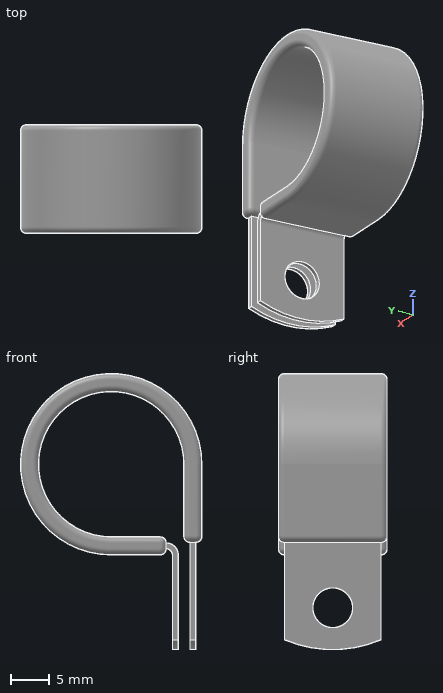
import cadquery as cq
import math


loop_diameter = 23.85
sleeve_width = 14.3
total_height = 36.28
band_thickness = 0.8
leg_length = 10.25
foot_length = 7.22
hole_diameter = 5.2
hole_height = 5.5
tip_rise = 1.3

outer_radius = loop_diameter / 2
edge_radius = band_thickness
sleeve_thickness = 3 * band_thickness
inner_radius = outer_radius - sleeve_thickness
middle_radius = outer_radius - sleeve_thickness / 2
band_width = sleeve_width - 2 * edge_radius
band_outer = middle_radius + band_thickness / 2
band_inner = middle_radius - band_thickness / 2
bend_radius = edge_radius + band_thickness
tab_bottom = outer_radius - total_height
embed = sleeve_thickness / 2


def make_sleeve():
    """Three-quarter loop with two straight ends and all outer edges rounded."""
    diagonal = math.sqrt(0.5)
    profile = (
        cq.Workplane("XZ")
        .moveTo(outer_radius, -leg_length)
        .lineTo(outer_radius, 0)
        .threePointArc((-outer_radius * diagonal, outer_radius * diagonal), (0, -outer_radius))
        .lineTo(foot_length, -outer_radius)
        .lineTo(foot_length, -inner_radius)
        .lineTo(0, -inner_radius)
        .threePointArc((-inner_radius * diagonal, inner_radius * diagonal), (inner_radius, 0))
        .lineTo(inner_radius, -leg_length)
        .close()
    )
    body = profile.extrude(sleeve_width / 2, both=True)
    leg_end = (middle_radius, 0, -leg_length)
    foot_end = (foot_length, 0, -middle_radius)
    edges = body.faces("<Y or >Y").edges()
    for end in (leg_end, foot_end):
        edges = edges.add(body.faces(cq.NearestToPointSelector(end)).edges("|Y"))
    return edges.fillet(edge_radius)


def make_straight_tab():
    """Band end running straight down from the vertical leg."""
    return (
        cq.Workplane("XY", origin=(middle_radius, 0, tab_bottom))
        .rect(band_thickness, band_width)
        .extrude(-leg_length + embed - tab_bottom)
    )


def make_bent_tab():
    """Band end leaving the foot and bending down beside the straight tab."""
    outer_face = foot_length + bend_radius
    bend_center_z = -band_inner - bend_radius
    profile = (
        cq.Workplane("XZ")
        .moveTo(foot_length - embed, -band_inner)
        .lineTo(foot_length, -band_inner)
        .radiusArc((outer_face, bend_center_z), bend_radius)
        .lineTo(outer_face, tab_bottom)
        .lineTo(outer_face - band_thickness, tab_bottom)
        .lineTo(outer_face - band_thickness, bend_center_z)
        .radiusArc((foot_length, -band_outer), -edge_radius)
        .lineTo(foot_length - embed, -band_outer)
        .close()
    )
    return profile.extrude(band_width / 2, both=True)


def make_tab_trim():
    """Curved tip waste and bolt hole, cut through both tabs along X."""
    half_width = band_width / 2
    corner_z = tab_bottom + tip_rise
    tip = (
        cq.Workplane("YZ")
        .moveTo(-half_width, corner_z)
        .threePointArc((0, tab_bottom), (half_width, corner_z))
        .lineTo(half_width, tab_bottom)
        .lineTo(-half_width, tab_bottom)
        .close()
        .extrude(outer_radius)
    )
    hole = (
        cq.Workplane("YZ")
        .center(0, tab_bottom + hole_height)
        .circle(hole_diameter / 2)
        .extrude(outer_radius)
    )
    return tip.union(hole)


tabs = make_straight_tab().union(make_bent_tab()).cut(make_tab_trim())
result = make_sleeve().union(tabs)